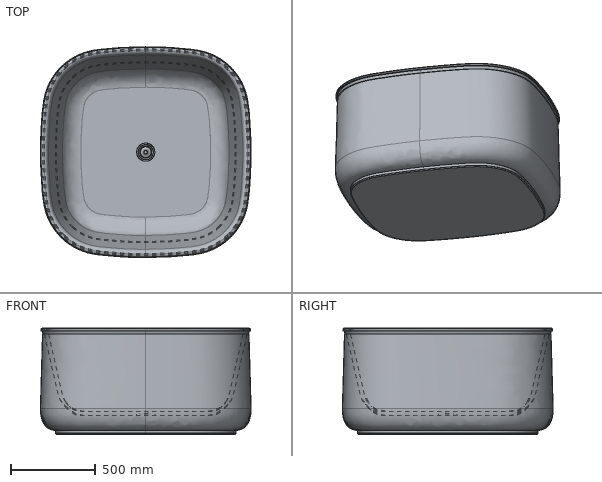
import cadquery as cq
import math

HALF_WIDTH = 625.0
SIDE_RADIUS = 2375.0
CORNER_RADIUS = 362.0
SIDE_STEPS = 2
CORNER_STEPS = 8

TOP_Z = 630.0
CREST_HALF = 605.0
LIP_HALF = 621.0
LIP_UNDERSIDE_Z = 614.0
LIP_EDGE_HEIGHT = 5.0
NECK_TOP_HALF = 614.0
NECK_BOTTOM_HALF = 609.0
JOINT_Z = 595.0
RIM_INNER_HALF = 576.0
RIM_INNER_Z = 594.0
WALL_FOOT_HALF = 494.0
WALL_FOOT_Z = 232.0
FLOOR_HALF = 385.0
FLOOR_Z = 135.0
BOWL_PULL = 52.0
BASIN_THICKNESS = 25.0
FLOOR_OVERLAP = 37.0

BASIN_UNDERSIDE_Z = FLOOR_Z - BASIN_THICKNESS
SWEPT_FLOOR_HALF = FLOOR_HALF - FLOOR_OVERLAP

SKIRT_TOP_HALF = 612.0
SKIRT_BEND_Z = 154.0
SKIRT_BEND_PULL = 91.0
UNDERSIDE_PULL_HALF = 587.0
UNDERSIDE_PULL_Z = 27.0
FOOT_HALF = 536.0
FOOT_Z = 22.0
FOOT_CHAMFER = 6.0

FLANGE_RADIUS = 54.0
FLANGE_HEIGHT = 25.0
FUNNEL_RADIUS = 45.0
FUNNEL_DEPTH = 15.0
SEAT_RADIUS = 35.0
PLUG_RADIUS = 32.0
PLUG_EDGE_HEIGHT = 4.0
PLUG_RISE = 6.0
KNOB_RADIUS = 16.0
KNOB_TOP_RADIUS = 10.0
KNOB_HEIGHT = 5.0
FLANGE_BASE_Z = FLOOR_Z - FLANGE_HEIGHT
SEAT_Z = FLOOR_Z - FUNNEL_DEPTH

SIDE_CENTRE = SIDE_RADIUS - HALF_WIDTH
RADIUS_GAP = SIDE_RADIUS - CORNER_RADIUS
CORNER_CENTRE = (math.sqrt(2 * RADIUS_GAP**2 - SIDE_CENTRE**2) - SIDE_CENTRE) / 2
SIDE_ANGLE = math.asin(CORNER_CENTRE / RADIUS_GAP)


def quarter_points(half_width):
    """Outline points from the middle of the +X side to just short of the middle of the +Y side."""
    inset = HALF_WIDTH - half_width
    side_radius = SIDE_RADIUS - inset
    corner_radius = CORNER_RADIUS - inset
    corner_sweep = math.pi / 2 - 2 * SIDE_ANGLE
    points = []
    for step in range(SIDE_STEPS):
        a = SIDE_ANGLE * step / SIDE_STEPS
        points.append((side_radius * math.cos(a) - SIDE_CENTRE, side_radius * math.sin(a)))
    for step in range(CORNER_STEPS + 1):
        a = SIDE_ANGLE + corner_sweep * step / CORNER_STEPS
        points.append((CORNER_CENTRE + corner_radius * math.cos(a),
                       CORNER_CENTRE + corner_radius * math.sin(a)))
    mirrored = [(y, x) for x, y in points[SIDE_STEPS - 1:0:-1]]
    return points + mirrored


def outline(half_width, z):
    """Closed wire of the given half width, made of two equal splines that meet on the Y axis."""
    quarter = quarter_points(half_width)
    loop = []
    for _ in range(4):
        loop += quarter
        quarter = [(-y, x) for x, y in quarter]
    start = 3 * len(quarter)
    loop = loop[start:] + loop[:start]
    half = len(loop) // 2
    edges = []
    for stretch in (loop[:half + 1], loop[half:] + loop[:1]):
        (x0, y0), (x1, y1) = stretch[0], stretch[-1]
        edges.append(cq.Edge.makeSpline(
            [cq.Vector(x, y, z) for x, y in stretch],
            tangents=[cq.Vector(-y0, x0, 0), cq.Vector(-y1, x1, 0)],
        ))
    return cq.Wire.assembleEdges(edges)


def sweep_around(profile):
    """Carry a YZ profile, drawn at the -Y side, once around the outline."""
    return profile.close().sweep(cq.Workplane(obj=outline(HALF_WIDTH, 0)), transition="right")


def bowl_handles(gap):
    """Bezier points of the bend from wall to floor, for a surface this far outside the cavity."""
    run = RIM_INNER_HALF - WALL_FOOT_HALF
    drop = RIM_INNER_Z - WALL_FOOT_Z
    length = math.hypot(run, drop)
    return [
        (-WALL_FOOT_HALF - gap, WALL_FOOT_Z),
        (-WALL_FOOT_HALF - gap + BOWL_PULL * run / length, WALL_FOOT_Z - BOWL_PULL * drop / length),
        (-FLOOR_HALF - BOWL_PULL, FLOOR_Z - gap),
        (-FLOOR_HALF, FLOOR_Z - gap),
    ]


def middle_plate(bottom_z, thickness):
    """Flat plate that closes a swept wall, overlapping it by half the swept floor width."""
    edge = outline(FLOOR_HALF - FLOOR_OVERLAP / 2, bottom_z)
    return cq.Workplane(obj=cq.Solid.extrudeLinear(edge, [], cq.Vector(0, 0, thickness)))


def drain_hole():
    """Cutter for the hole that the flange fills."""
    return (
        cq.Workplane("XY", origin=(0, 0, FLANGE_BASE_Z))
        .circle(FLANGE_RADIUS)
        .extrude(FLANGE_HEIGHT)
    )


def make_basin():
    """Shell with a rolled rim whose lip overhangs a narrower neck."""
    wall_down = (RIM_INNER_HALF - WALL_FOOT_HALF, WALL_FOOT_Z - RIM_INNER_Z)
    profile = (
        cq.Workplane("YZ")
        .moveTo(-CREST_HALF, TOP_Z)
        .spline([(-RIM_INNER_HALF, RIM_INNER_Z)], tangents=[(1, 0), wall_down], includeCurrent=True)
        .lineTo(-WALL_FOOT_HALF, WALL_FOOT_Z)
        .bezier(bowl_handles(0))
        .lineTo(-SWEPT_FLOOR_HALF, FLOOR_Z)
        .lineTo(-SWEPT_FLOOR_HALF, BASIN_UNDERSIDE_Z)
        .lineTo(-FLOOR_HALF, BASIN_UNDERSIDE_Z)
        .bezier(bowl_handles(BASIN_THICKNESS)[::-1])
        .lineTo(-RIM_INNER_HALF - BASIN_THICKNESS, JOINT_Z)
        .lineTo(-NECK_BOTTOM_HALF, JOINT_Z)
        .lineTo(-NECK_TOP_HALF, LIP_UNDERSIDE_Z)
        .lineTo(-LIP_HALF, LIP_UNDERSIDE_Z)
        .lineTo(-LIP_HALF, LIP_UNDERSIDE_Z + LIP_EDGE_HEIGHT)
        .spline([(-CREST_HALF, TOP_Z)], tangents=[(0, 1), (1, 0)], includeCurrent=True)
    )
    wall = sweep_around(profile)
    plate = middle_plate(BASIN_UNDERSIDE_Z, BASIN_THICKNESS)
    return wall.union(plate.cut(drain_hole())).clean().solids()


def make_skirt():
    """Outer body with a raised foot; its recess matches the outside of the basin."""
    profile = (
        cq.Workplane("YZ")
        .moveTo(-HALF_WIDTH, SKIRT_BEND_Z)
        .lineTo(-SKIRT_TOP_HALF, JOINT_Z)
        .lineTo(-RIM_INNER_HALF - BASIN_THICKNESS, JOINT_Z)
        .lineTo(-WALL_FOOT_HALF - BASIN_THICKNESS, WALL_FOOT_Z)
        .bezier(bowl_handles(BASIN_THICKNESS))
        .lineTo(-SWEPT_FLOOR_HALF, BASIN_UNDERSIDE_Z)
        .lineTo(-SWEPT_FLOOR_HALF, 0)
        .lineTo(FOOT_CHAMFER - FOOT_HALF, 0)
        .lineTo(-FOOT_HALF, FOOT_CHAMFER)
        .lineTo(-FOOT_HALF, FOOT_Z)
        .bezier([
            (-FOOT_HALF, FOOT_Z),
            (-UNDERSIDE_PULL_HALF, UNDERSIDE_PULL_Z),
            (-HALF_WIDTH, SKIRT_BEND_Z - SKIRT_BEND_PULL),
            (-HALF_WIDTH, SKIRT_BEND_Z),
        ])
    )
    wall = sweep_around(profile)
    core = middle_plate(0, BASIN_UNDERSIDE_Z)
    return wall.union(core).clean().solids()


def make_flange():
    """Disc flush with the floor, with a funnel down to the plug seat."""
    return (
        cq.Workplane("XZ")
        .moveTo(0, FLANGE_BASE_Z)
        .lineTo(FLANGE_RADIUS, FLANGE_BASE_Z)
        .lineTo(FLANGE_RADIUS, FLOOR_Z)
        .lineTo(FUNNEL_RADIUS, FLOOR_Z)
        .lineTo(SEAT_RADIUS, SEAT_Z)
        .lineTo(0, SEAT_Z)
        .close()
        .revolve(360, (0, 0), (0, 1))
    )


def make_plug():
    """Conical button with a small knob, standing on the seat of the flange."""
    edge_z = SEAT_Z + PLUG_EDGE_HEIGHT
    knob_z = edge_z + PLUG_RISE
    return (
        cq.Workplane("XZ")
        .moveTo(0, SEAT_Z)
        .lineTo(PLUG_RADIUS, SEAT_Z)
        .lineTo(PLUG_RADIUS, edge_z)
        .lineTo(KNOB_RADIUS, knob_z)
        .lineTo(KNOB_TOP_RADIUS, knob_z + KNOB_HEIGHT)
        .lineTo(0, knob_z + KNOB_HEIGHT)
        .close()
        .revolve(360, (0, 0), (0, 1))
    )


basin = make_basin()
skirt = make_skirt()
flange = make_flange()
plug = make_plug()

result = cq.Compound.makeCompound([basin.val(), skirt.val(), flange.val(), plug.val()])